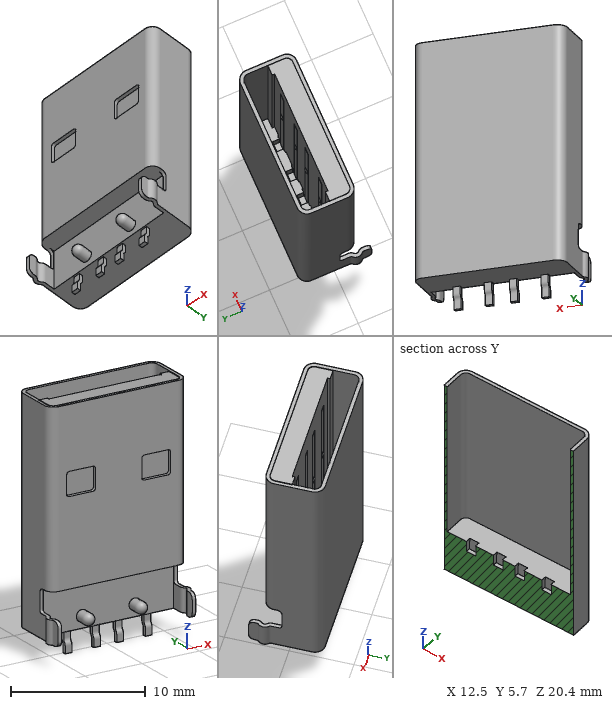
import cadquery as cq
import math


shell_width = 12.03
shell_depth = 4.55
shell_height = 18.68
wall = 0.3
shell_corner = 0.8
shell_front = -shell_depth / 2
shell_back = shell_depth / 2
inner_width = shell_width - 2 * wall
inner_depth = shell_depth - 2 * wall
inner_corner = shell_corner - wall

notch_depth = 1.4
notch_bottom = 2.0
notch_top = 2 * notch_bottom
notch_upper_fillet = 0.37
notch_lower_fillet = 0.22
notch_back = shell_front + notch_depth

overall_width = 12.5
overall_depth = 5.7
bulge_height = (overall_width - shell_width) / 2
bulge_length = 1.12
bulge_half_length = bulge_length / 2
bulge_centre_y = -2.25
outer_bulge_radius = 0.57
tab_tip_y = shell_back - overall_depth
tab_corner = 0.49

window_width = 2.53
window_height = 2.0
window_corner = 0.25
window_x = 3.28
window_z = 12.35

base_height = notch_top
base_setback = 0.06
tongue_setback = 0.06
base_front = notch_back + base_setback
tongue_thickness = 1.61
rail_width = 0.8
rail_height = 0.2
tongue_face = shell_front + wall + tongue_thickness

post_radius = 0.49
post_length = 1.39
post_x = 2.3
post_z = 1.02

contact_positions = [-3.5, -1.0, 1.0, 3.5]
contact_width = 0.6
contact_thickness = 0.33
contact_proud = 0.02
contact_top = 16.72
contact_back = tongue_face + contact_proud
dimple_diameter = 0.53
dimple_height = 0.1
dimple_z = (base_height + shell_height) / 2
pin_length = 1.71
pin_bend_start = -0.55
pin_bend_length = 0.55
pin_offset = 0.2

pocket_width = 0.84
pocket_height = 0.53
pocket_flare = 0.08
pocket_depth = 1.0
relief_width = 1.39
relief_height = 0.06


def box_between(x_range, y_range, z_range):
    """Box spanning the given (low, high) ranges."""
    low, high = zip(x_range, y_range, z_range)
    size = [b - a for a, b in zip(low, high)]
    return cq.Workplane("XY").box(*size, centered=False).translate(low)


def rounded_prism(width, depth, corner, height):
    """Upright block with rounded vertical edges, standing on Z = 0."""
    block = cq.Workplane("XY").rect(width, depth).extrude(height)
    return block.edges("|Z").fillet(corner)


def make_shell():
    outer = rounded_prism(shell_width, shell_depth, shell_corner, shell_height)
    shell = outer.cut(rounded_prism(inner_width, inner_depth, inner_corner, shell_height))

    notch = box_between((-shell_width, shell_width), (shell_front - wall, notch_back), (0, notch_top))
    notch = notch.edges("|X and >Y and >Z").fillet(notch_upper_fillet)
    shell = shell.cut(notch)

    windows = (
        cq.Workplane("XZ", origin=(0, shell_front + wall, 0))
        .pushPoints([(-window_x, window_z), (window_x, window_z)])
        .rect(window_width, window_height)
        .extrude(2 * wall)
        .edges("|Y")
        .fillet(window_corner)
    )
    return shell.cut(windows)


def make_tab():
    """Tab continuing the +X side wall forward, with two small bends either side of a bulge."""
    bend_angle = 2 * math.atan(bulge_height / bulge_half_length)
    bend_sine = math.sin(bend_angle)
    bend_drop = 1 - math.cos(bend_angle)
    outer_face = shell_width / 2
    inner_face = outer_face - wall
    bulge_start = bulge_centre_y + bulge_half_length
    bulge_end = bulge_centre_y - bulge_half_length

    def bulge_points(face, radius):
        """Ends of the bulge arc and its crest, for a wall face with the given bulge radius."""
        crest = face + bulge_height
        arc_end_x = crest - radius * bend_drop
        half_chord = radius * bend_sine
        return (
            (arc_end_x, bulge_centre_y + half_chord),
            (crest, bulge_centre_y),
            (arc_end_x, bulge_centre_y - half_chord),
        )

    outer_start, outer_crest, outer_end = bulge_points(outer_face, outer_bulge_radius)
    inner_start, inner_crest, inner_end = bulge_points(inner_face, outer_bulge_radius - wall)
    tab = (
        cq.Workplane("XY")
        .moveTo(outer_face, notch_back)
        .lineTo(outer_face, bulge_start)
        .tangentArcPoint(outer_start, relative=False)
        .threePointArc(outer_crest, outer_end)
        .tangentArcPoint((outer_face, bulge_end), relative=False)
        .lineTo(outer_face, tab_tip_y)
        .lineTo(inner_face, tab_tip_y)
        .lineTo(inner_face, bulge_end)
        .tangentArcPoint(inner_end, relative=False)
        .threePointArc(inner_crest, inner_start)
        .tangentArcPoint((inner_face, bulge_start), relative=False)
        .lineTo(inner_face, notch_back)
        .close()
        .extrude(notch_bottom)
    )
    tab = tab.edges("|X and <Y").fillet(tab_corner)

    web_y = notch_back - notch_lower_fillet
    web_z = notch_bottom + notch_lower_fillet
    web = box_between((inner_face, outer_face), (web_y, notch_back), (notch_bottom, web_z))
    web_cutter = (
        cq.Workplane("YZ", origin=(inner_face, 0, 0))
        .center(web_y, web_z)
        .circle(notch_lower_fillet)
        .extrude(wall)
    )
    return tab.union(web.cut(web_cutter))


def make_pocket(x, floor):
    """Contact pocket whose back wall slopes outward towards the mouth."""
    floor_back = tongue_face + pocket_height
    return (
        cq.Workplane("YZ", origin=(x - pocket_width / 2, 0, 0))
        .polyline(
            [
                (tongue_face, floor),
                (floor_back, floor),
                (floor_back + pocket_flare, base_height),
                (tongue_face, base_height),
            ]
        )
        .close()
        .extrude(pocket_width)
    )


def make_insulator():
    inside = rounded_prism(inner_width, inner_depth, inner_corner, shell_height)
    half_width = inner_width / 2
    all_x = (-half_width, half_width)
    front = shell_front + wall
    tongue_top = shell_height - tongue_setback

    base = box_between(all_x, (base_front, shell_back), (0, base_height))
    tongue = box_between(all_x, (front, tongue_face), (base_height, tongue_top))
    insulator = base.union(tongue)
    for rail_start in (-half_width, half_width - rail_width):
        rail_x = (rail_start, rail_start + rail_width)
        rail_y = (base_front, tongue_face + rail_height)
        insulator = insulator.union(box_between(rail_x, rail_y, (0, tongue_top)))
    insulator = insulator.intersect(inside)

    pocket_floor = base_height - pocket_depth
    relief_y = (tongue_face, tongue_face + relief_height)
    for x in contact_positions:
        relief_x = (x - relief_width / 2, x + relief_width / 2)
        insulator = insulator.cut(box_between(relief_x, relief_y, (pocket_floor, base_height)))
        insulator = insulator.cut(make_pocket(x, pocket_floor))
    return insulator


def make_post(x):
    """Round post pointing forward, ending in a hemisphere."""
    shank_length = post_length - post_radius
    shank = cq.Workplane("XZ", origin=(x, base_front, post_z)).circle(post_radius).extrude(shank_length)
    dome = cq.Workplane("XY").sphere(post_radius).translate((x, base_front - shank_length, post_z))
    return shank.union(dome)


def make_contact(x):
    """Contact along the tongue with a wiping dimple and a solder pin that steps forward in an S-bend."""
    back = contact_back
    front = back - contact_thickness
    bend_middle = pin_bend_start - pin_bend_length / 2
    bend_end = pin_bend_start - pin_bend_length
    strip = (
        cq.Workplane("YZ", origin=(x - contact_width / 2, 0, 0))
        .moveTo(front, contact_top)
        .lineTo(front, pin_bend_start)
        .tangentArcPoint((front - pin_offset / 2, bend_middle), relative=False)
        .tangentArcPoint((front - pin_offset, bend_end), relative=False)
        .lineTo(front - pin_offset, -pin_length)
        .lineTo(back - pin_offset, -pin_length)
        .lineTo(back - pin_offset, bend_end)
        .tangentArcPoint((back - pin_offset / 2, bend_middle), relative=False)
        .tangentArcPoint((back, pin_bend_start), relative=False)
        .lineTo(back, contact_top)
        .close()
        .extrude(contact_width)
    )

    dimple_radius = ((dimple_diameter / 2) ** 2 + dimple_height**2) / (2 * dimple_height)
    dimple_centre = (x, back + dimple_height - dimple_radius, dimple_z)
    ball = cq.Workplane("XY").sphere(dimple_radius).translate(dimple_centre)
    envelope = cq.Workplane("XZ", origin=(x, front, dimple_z)).circle(dimple_diameter / 2)
    cap = ball.intersect(envelope.extrude(-contact_thickness - dimple_height))
    return strip.union(cap)


right_tab = make_tab()
result = make_shell().union(make_insulator())
result = result.union(right_tab).union(right_tab.mirror("YZ"))
for side in (-1, 1):
    result = result.union(make_post(side * post_x))
for contact_x in contact_positions:
    result = result.union(make_contact(contact_x))